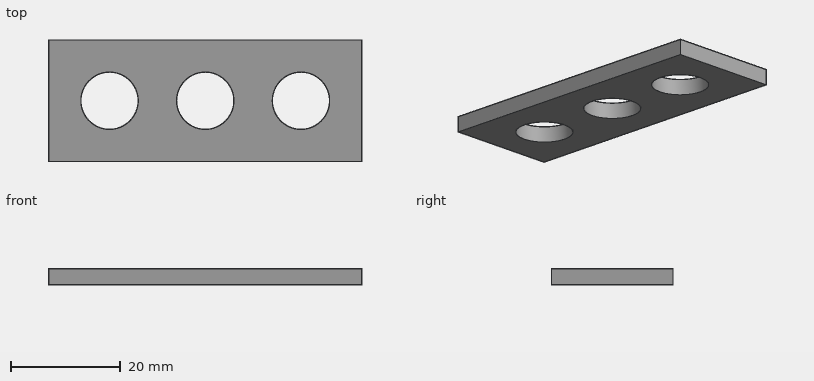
import cadquery as cq

plate_length = 57.15
plate_width = 22.225
plate_thickness = 3.0

hole_diameter = 10.41
hole_count = 3
hole_spacing = 17.4625


def make_plate():
    """Flat rectangular plate centred on the origin in X and Y, resting on Z = 0."""
    return cq.Workplane("XY").box(
        plate_length, plate_width, plate_thickness, centered=(True, True, False)
    )


def drill_hole_row(plate):
    """Drill the evenly spaced holes through the full thickness."""
    return (
        plate.faces(">Z")
        .workplane()
        .rarray(hole_spacing, plate_width, hole_count, 1)
        .hole(hole_diameter)
    )


result = drill_hole_row(make_plate())